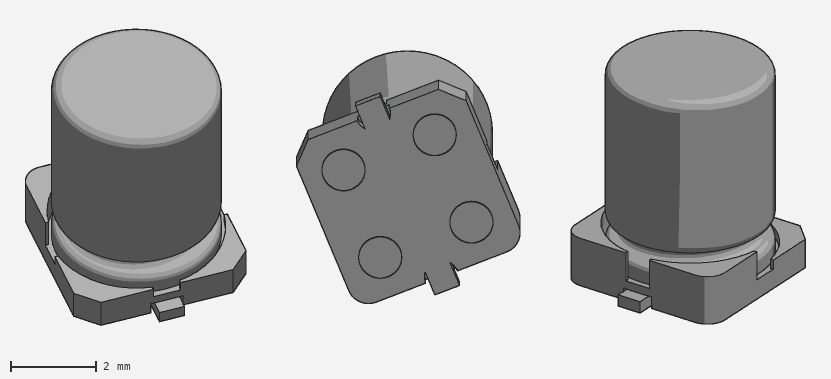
import cadquery as cq
import math

total_height = 5.45

base_side = 4.3
base_bottom = 0.05
base_high_top = 1.3
base_low_top = 0.8
corner_size = 0.5

pocket_radius = 2.1
pocket_floor = 0.56
slot_width = 0.67

can_radius = 2.0
top_edge_radius = 0.25
groove_arc_radius = 0.199
groove_center_z = 1.25

lead_span = 5.0
lead_width = 0.625
lead_thickness = 0.3
lead_notch_radius = 0.405

foot_diameter = 1.015
foot_offset = 1.155

half_side = base_side / 2
slot_edge = slot_width / 2


def make_base():
    """Square base with a high -X half and a low +X half."""
    base = (
        cq.Workplane("XY")
        .workplane(offset=base_bottom)
        .rect(base_side, base_side)
        .extrude(base_high_top - base_bottom)
    )
    base = base.edges("|Z and <X").fillet(corner_size)
    base = base.edges("|Z and >X").chamfer(corner_size)
    upper_half = (
        cq.Workplane("XY")
        .workplane(offset=base_low_top)
        .center(slot_edge + half_side / 2, 0)
        .rect(half_side, base_side)
        .extrude(total_height)
    )
    return base.cut(upper_half)


def make_pocket():
    """Round pocket and crossed slots, all cut down to one floor."""
    floor = cq.Workplane("XY").workplane(offset=pocket_floor)
    pocket = floor.circle(pocket_radius).extrude(total_height)
    slot_x = floor.rect(base_side, slot_width).extrude(total_height)
    slot_y = floor.rect(slot_width, base_side).extrude(total_height)
    return pocket.union(slot_x).union(slot_y)


def make_lead_notches():
    """Half-round notch around each lead, at the middle of the -X and +X sides."""
    return (
        cq.Workplane("XY")
        .workplane(offset=base_bottom)
        .pushPoints([(-half_side, 0), (half_side, 0)])
        .circle(lead_notch_radius)
        .extrude(lead_thickness)
    )


def make_leads():
    """Both leads as one flat bar whose ends stick out at both sides of the base."""
    return (
        cq.Workplane("XY")
        .workplane(offset=base_bottom)
        .rect(lead_span, lead_width)
        .extrude(lead_thickness)
    )


def make_can():
    """Can turned about Z, with a rolled groove near its bottom and a rounded top edge."""
    r = groove_arc_radius
    diagonal = r * math.sqrt(0.5)
    lip_center = can_radius - r
    neck_radius = can_radius - 2 * r
    lower_lip_z = groove_center_z - 2 * r
    upper_lip_z = groove_center_z + 2 * r
    top_center = can_radius - top_edge_radius
    top_center_z = total_height - top_edge_radius
    top_diagonal = top_edge_radius * math.sqrt(0.5)
    return (
        cq.Workplane("XZ")
        .moveTo(0, pocket_floor)
        .lineTo(can_radius, pocket_floor)
        .lineTo(can_radius, lower_lip_z)
        .threePointArc((lip_center + diagonal, lower_lip_z + diagonal), (lip_center, lower_lip_z + r))
        .threePointArc((neck_radius, groove_center_z), (lip_center, upper_lip_z - r))
        .threePointArc((lip_center + diagonal, upper_lip_z - diagonal), (can_radius, upper_lip_z))
        .lineTo(can_radius, top_center_z)
        .threePointArc((top_center + top_diagonal, top_center_z + top_diagonal), (top_center, total_height))
        .lineTo(0, total_height)
        .close()
        .revolve(360, (0, 0, 0), (0, 1, 0))
    )


def make_feet():
    """Four thin round feet under the base."""
    return (
        cq.Workplane("XY")
        .rect(2 * foot_offset, 2 * foot_offset, forConstruction=True)
        .vertices()
        .circle(foot_diameter / 2)
        .extrude(base_bottom)
    )


hollow_base = make_base().cut(make_pocket()).cut(make_lead_notches())
result = hollow_base.union(make_leads()).union(make_can()).union(make_feet())